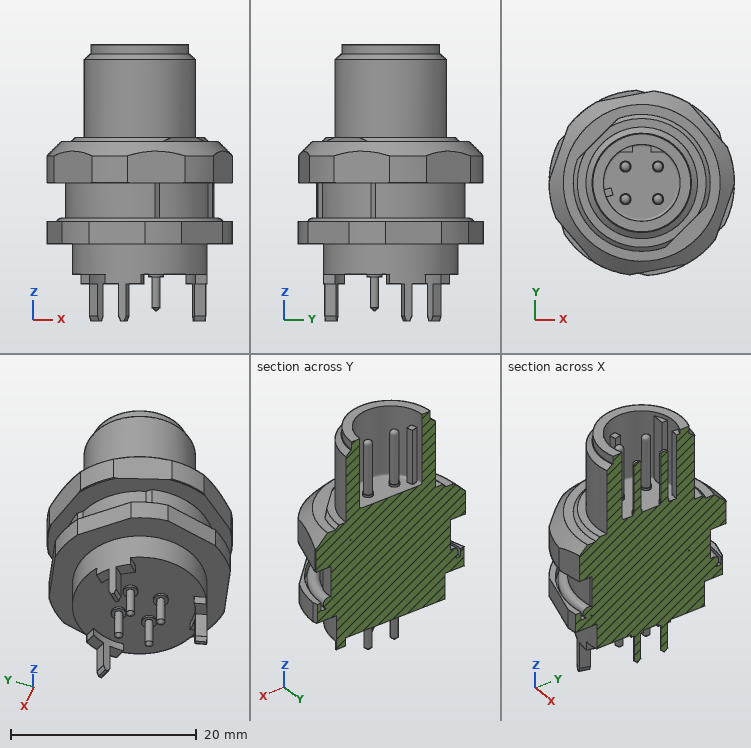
import cadquery as cq
import math


foot_bottom = 4.0
base_bottom = 5.03
flange_bottom = 8.3
flange_top = 10.75
nut_bottom = 14.85
nut_top = 19.35
thread_top = 19.78
barrel_chamfer_bottom = 28.15
collar_bottom = 28.75
total_height = 29.75

base_radius = 7.25
core_radius = 7.65
thread_radius = 8.0
thread_top_radius = 6.93
barrel_radius = 6.0
barrel_chamfer_radius = 5.35
collar_radius = 5.27

thread_flat_distance = 6.7
thread_flat_angles = (135, 315)

hex_corner_radius = 10.0
hex_flat_distance = 9.5
flange_flat_angle = -45
nut_flat_angle = -19.2
nut_top_radius = 8.45
nut_bottom_chamfer = 0.1

ring_section_radius = 0.7
ring_radius = 8.33
ring_top = 11.1
groove_radius = 9.28
groove_floor = 9.73

socket_radius = 4.15
socket_floor_fillet = 0.27
socket_floor = 20.82
key_top = 29.25
key_flat_distance = 3.3
key_gap = 1.95
key_angle = 90
rib_width = 0.8
rib_inner_radius = 3.33
rib_angle = 196
rib_top = 27.73

pin_offset = 1.75
pin_radius = 0.5
pin_nose_fillet = 0.4
pin_shoulder_radius = 0.6
pin_shoulder_height = 0.27
pin_top = 27.73
tail_radius = 0.45
tail_bottom = 1.07
tail_tip_height = 0.4
tail_tip_radius = 0.03
tail_collar_radius = 0.8
tail_collar_height = 0.27

leg_angles = (15, 135, 255)
leg_inner_radius = 6.0
foot_width = 4.0
leg_width = 0.85
leg_tip_height = 0.57
leg_tip_width = 0.4


def cylinder(radius, bottom, top):
    return cq.Workplane("XY").workplane(offset=bottom).circle(radius).extrude(top - bottom)


def turned(points):
    """Solid of revolution about Z from (radius, height) points."""
    return cq.Workplane("XZ").polyline(points).close().revolve(360, (0, 0), (0, 1))


def radial_box(inner, outer, width, bottom, top, angle):
    """Box reaching outward from the axis between two distances, in the given direction."""
    box = cq.Workplane("XY").box(outer - inner, width, top - bottom, centered=(False, True, False))
    return box.translate((inner, 0, bottom)).rotate((0, 0, 0), (0, 0, 1), angle)


def truncated_hexagon(flat_angle, bottom, top):
    hexagon = (
        cq.Workplane("XY")
        .workplane(offset=bottom)
        .polygon(6, 2 * hex_flat_distance / math.cos(math.pi / 6))
        .extrude(top - bottom)
        .rotate((0, 0, 0), (0, 0, 1), flat_angle + 30)
    )
    return hexagon.intersect(cylinder(hex_corner_radius, bottom, top))


def make_flange():
    flange = truncated_hexagon(flange_flat_angle, flange_bottom, flange_top)
    groove = cylinder(groove_radius, groove_floor, flange_top)
    ring_height = ring_top - ring_section_radius
    ring = (
        cq.Workplane("XZ")
        .center(ring_radius, ring_height)
        .circle(ring_section_radius)
        .revolve(360, (-ring_radius, 0), (-ring_radius, 1))
    )
    return flange.cut(groove).union(ring)


def make_nut():
    nut = truncated_hexagon(nut_flat_angle, nut_bottom, nut_top)
    shoulder = nut_top - (hex_corner_radius - nut_top_radius)
    envelope = turned([
        (0, nut_bottom),
        (hex_corner_radius - nut_bottom_chamfer, nut_bottom),
        (hex_corner_radius, nut_bottom + nut_bottom_chamfer),
        (hex_corner_radius, shoulder),
        (nut_top_radius, nut_top),
        (0, nut_top),
    ])
    return nut.intersect(envelope)


def make_thread():
    chamfer = thread_radius - thread_top_radius
    thread = turned([
        (0, groove_floor),
        (thread_radius, groove_floor),
        (thread_radius, thread_top - chamfer),
        (thread_top_radius, thread_top),
        (0, thread_top),
    ])
    outside = 2 * thread_radius
    for angle in thread_flat_angles:
        thread = thread.cut(
            radial_box(thread_flat_distance, outside, outside, groove_floor, thread_top, angle)
        )
    return thread


def make_barrel():
    return turned([
        (0, nut_top),
        (barrel_radius, nut_top),
        (barrel_radius, barrel_chamfer_bottom),
        (barrel_chamfer_radius, collar_bottom),
        (collar_radius, collar_bottom),
        (collar_radius, total_height),
        (0, total_height),
    ])


def make_socket():
    socket = cylinder(socket_radius, socket_floor, total_height)
    return socket.faces("<Z").edges().fillet(socket_floor_fillet)


def make_keys():
    """Two blocks with a gap between them, and one narrow rib, all along the socket wall."""
    blocks = radial_box(
        key_flat_distance, socket_radius, 2 * socket_radius, socket_floor, key_top, key_angle
    )
    gap = radial_box(0, 2 * socket_radius, key_gap, socket_floor, key_top, key_angle)
    rib = radial_box(rib_inner_radius, socket_radius, rib_width, socket_floor, rib_top, rib_angle)
    return blocks.cut(gap).union(rib).intersect(cylinder(socket_radius, socket_floor, key_top))


def make_pin(x, y):
    """Shouldered round-nosed pin in the socket, and its collared tail below the base."""
    pin = cylinder(pin_radius, socket_floor, pin_top).faces(">Z").edges().fillet(pin_nose_fillet)
    pin = pin.union(cylinder(pin_shoulder_radius, socket_floor, socket_floor + pin_shoulder_height))
    collar_end = base_bottom - tail_collar_height
    tail = turned([
        (0, tail_bottom),
        (tail_tip_radius, tail_bottom),
        (tail_radius, tail_bottom + tail_tip_height),
        (tail_radius, collar_end),
        (tail_collar_radius, collar_end),
        (tail_collar_radius, base_bottom),
        (0, base_bottom),
    ])
    return pin.translate((x, y, 0)), tail.translate((x, y, 0))


def make_leg(angle):
    """Foot under the base rim with a solder leg whose tip narrows to the sides."""
    foot = radial_box(0, 2 * base_radius, foot_width, foot_bottom, base_bottom, angle)
    leg = (
        cq.Workplane("YZ")
        .polyline([
            (-leg_tip_width / 2, 0),
            (leg_tip_width / 2, 0),
            (leg_width / 2, leg_tip_height),
            (leg_width / 2, foot_bottom),
            (-leg_width / 2, foot_bottom),
            (-leg_width / 2, leg_tip_height),
        ])
        .close()
        .extrude(2 * base_radius)
        .rotate((0, 0, 0), (0, 0, 1), angle)
    )
    rim = cylinder(base_radius, 0, base_bottom).cut(cylinder(leg_inner_radius, 0, base_bottom))
    return foot.union(leg).intersect(rim)


result = cylinder(base_radius, base_bottom, groove_floor)
result = result.union(make_flange())
result = result.union(cylinder(core_radius, groove_floor, nut_bottom))
result = result.union(make_thread())
result = result.union(make_nut())
result = result.union(make_barrel())
result = result.cut(make_socket())
result = result.union(make_keys())

for x in (-pin_offset, pin_offset):
    for y in (-pin_offset, pin_offset):
        for piece in make_pin(x, y):
            result = result.union(piece)

for angle in leg_angles:
    result = result.union(make_leg(angle))